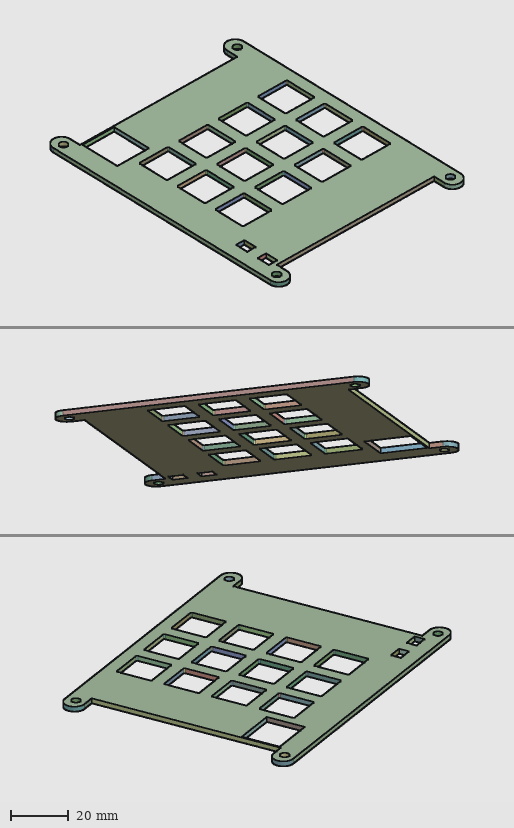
import cadquery as cq

LENGTH = 116.6
WIDTH = 91.4
THICKNESS = 2.0
BODY_LENGTH = 98.5

BAR_WIDTH = 7.9
HOLE_DIAMETER = 3.4
HOLE_SPACING_X = 106.7
HOLE_SPACING_Y = WIDTH - BAR_WIDTH

KEY_COLUMNS = 3
KEY_ROWS = 4
KEY_PITCH = 19.0
KEY_SIZE = 14.0
KEY_CORNER_RADIUS = 0.5
KEY_GRID_CENTER = (-1.3, 5.0)

EDGE_STRIP = 0.6
WINDOW_LENGTH = 17.4
WINDOW_WIDTH = 15.2
WINDOW_CENTER_Y = -29.5

SLOT_LENGTH = 5.6
SLOT_WIDTH = 4.0
SLOT_PITCH = 10.8
SLOT_PAIR_CENTER = (39.2, -37.8)


def plate_blank():
    """Rectangular body joined to two bars with fully rounded ends."""
    body = cq.Workplane("XY").rect(BODY_LENGTH, HOLE_SPACING_Y).extrude(THICKNESS)
    bars = (
        cq.Workplane("XY")
        .rarray(1.2, HOLE_SPACING_Y, 1, 2)
        .slot2D(LENGTH, BAR_WIDTH)
        .extrude(THICKNESS)
    )
    return body.union(bars)


def mounting_holes():
    return (
        cq.Workplane("XY")
        .rarray(HOLE_SPACING_X, HOLE_SPACING_Y, 2, 2)
        .circle(HOLE_DIAMETER / 2)
        .extrude(THICKNESS)
    )


def key_openings():
    return (
        cq.Workplane("XY")
        .center(*KEY_GRID_CENTER)
        .rarray(KEY_PITCH, KEY_PITCH, KEY_COLUMNS, KEY_ROWS)
        .rect(KEY_SIZE, KEY_SIZE)
        .extrude(THICKNESS)
        .edges("|Z")
        .fillet(KEY_CORNER_RADIUS)
    )


def window():
    center_x = -BODY_LENGTH / 2 + EDGE_STRIP + WINDOW_LENGTH / 2
    return (
        cq.Workplane("XY")
        .center(center_x, WINDOW_CENTER_Y)
        .rect(WINDOW_LENGTH, WINDOW_WIDTH)
        .extrude(THICKNESS)
    )


def slots():
    return (
        cq.Workplane("XY")
        .center(*SLOT_PAIR_CENTER)
        .rarray(SLOT_PITCH, 1.2, 2, 1)
        .rect(SLOT_LENGTH, SLOT_WIDTH)
        .extrude(THICKNESS)
    )


result = plate_blank()
for opening in (mounting_holes(), key_openings(), window(), slots()):
    result = result.cut(opening)